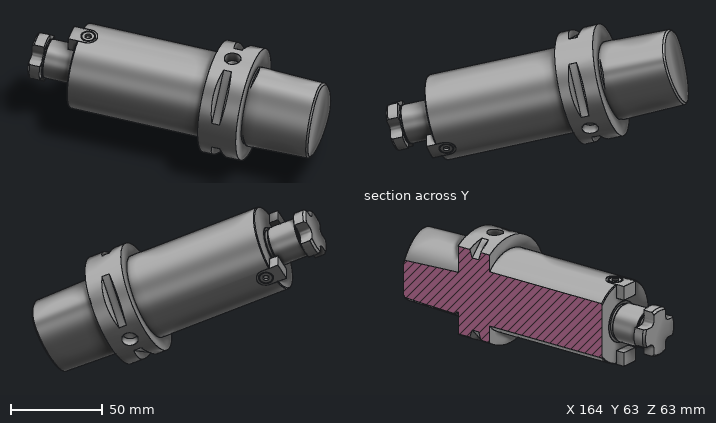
import cadquery as cq
import math


overall_length = 164.0
shank_length = 38.0
flange_length = 22.0
flange_back = overall_length - shank_length
flange_front = flange_back - flange_length
gauge_length = 100.0
body_front = flange_back - gauge_length

opposite_angles = (0, 180)

flange_diameter = 63.0
body_diameter = 48.0
body_chamfer = 0.5
pilot_diameter = 22.0
pilot_front = 7.7
pilot_back = 24.0
pilot_chamfer = 0.5
neck_diameter = 21.6
undercut_diameter = 20.3
face_recess_diameter = 23.6
face_recess_depth = 0.3
undercut_slope = (pilot_diameter - undercut_diameter) / 2

head_diameter = 28.0
head_length = 7.0
head_chamfer = 1.25
cross_arm_width = 10.4
cross_corner_radius = 3.0

key_width = 10.5
key_front = 20.8
key_screw_x = 30.7
key_top = 23.6
key_height = 8.1

screw_hole_diameter = 8.1
screw_head_diameter = 7.5
screw_head_chamfer = 0.25
screw_gap_depth = 3.5
socket_diameter = 3.5
socket_depth = 1.5
drill_half_angle = math.radians(59)

slot_x = 114.0
slot_floor_width = 4.4
slot_half_length = 15.0
slot_depth = flange_diameter / 2 - math.sqrt((flange_diameter / 2) ** 2 - slot_half_length ** 2)
slot_wall_angle = math.radians(25)
slot_angles = (45, 135, 225, 315)
index_hole_diameter = 9.0
index_hole_depth = 6.0

polygon_radius = 22.03
polygon_eccentricity = 1.4
polygon_straight_length = 2.5
polygon_taper = 1 / 40
polygon_end_chamfer = 1.0
polygon_points = 72
relief_diameter = 44.4
relief_length = 1.0
relief_slope = 1.3


def cylinder(x_start, x_end, diameter):
    """Solid cylinder along X between two stations."""
    return cq.Workplane("YZ", origin=(x_start, 0, 0)).circle(diameter / 2).extrude(x_end - x_start)


def cone(x_start, x_end, start_diameter, end_diameter):
    """Truncated cone along X between two stations."""
    base = cq.Workplane("YZ", origin=(x_start, 0, 0)).circle(start_diameter / 2)
    return base.workplane(offset=x_end - x_start).circle(end_diameter / 2).loft()


def make_turned_body():
    """Pilot with its undercut running into the body face, main cylinder and flange."""
    body = cylinder(body_front, flange_front, body_diameter).faces("<X").chamfer(body_chamfer)
    flange = cylinder(flange_front, flange_back, flange_diameter)
    pilot = cylinder(pilot_front, pilot_back, pilot_diameter).faces("<X").chamfer(pilot_chamfer)
    slope_end = pilot_back + undercut_slope
    slope = cone(pilot_back, slope_end, pilot_diameter, undercut_diameter)
    recess_end = body_front + face_recess_depth
    recess = cylinder(body_front, recess_end, face_recess_diameter)
    undercut = cylinder(slope_end, recess_end, undercut_diameter)
    neck = cylinder(head_length, pilot_front, neck_diameter)
    return body.cut(recess).union(flange).union(pilot).union(slope).union(undercut).union(neck)


def make_cross_head():
    """Round head cut down to a four-armed cross."""
    disc = cylinder(0, head_length, head_diameter).faces("<X").chamfer(head_chamfer)
    arms = cq.Workplane("YZ").rect(cross_arm_width, head_diameter).extrude(head_length)
    arms = arms.union(cq.Workplane("YZ").rect(head_diameter, cross_arm_width).extrude(head_length))
    reach = cross_arm_width / 2 + cross_corner_radius
    corners = cq.selectors.BoxSelector((0, -reach, -reach), (head_length, reach, reach))
    arms = arms.edges("|X").edges(corners).fillet(cross_corner_radius)
    return disc.intersect(arms)


def key_outline(z_start, height):
    """Key prism with a round rear end, standing between two heights."""
    straight = key_screw_x - key_front
    block = (
        cq.Workplane("XY", origin=(key_front, 0, z_start))
        .moveTo(0, -key_width / 2)
        .lineTo(straight, -key_width / 2)
        .threePointArc((straight + key_width / 2, 0), (straight, key_width / 2))
        .lineTo(0, key_width / 2)
        .close()
    )
    return block.extrude(height)


def make_key():
    """Upper drive key with the head of its screw sunk flush into the top."""
    key = key_outline(key_top - key_height, key_height)
    top = cq.Workplane("XY", origin=(key_screw_x, 0, key_top))
    gap = top.circle(screw_hole_diameter / 2).extrude(-screw_gap_depth)
    head = top.circle(screw_head_diameter / 2).extrude(-screw_gap_depth)
    head = head.faces(">Z").chamfer(screw_head_chamfer)
    key = key.cut(gap).union(head)
    return key.cut(drilled_hole(key_screw_x, key_top, socket_diameter, socket_depth))


def drilled_hole(x, z_top, diameter, depth):
    """Blind hole along -Z with a conical drill point."""
    radius = diameter / 2
    tip = depth + radius / math.tan(drill_half_angle)
    profile = cq.Workplane("XZ", origin=(x, 0, z_top)).polyline(
        [(0, 0), (radius, 0), (radius, -depth), (0, -tip)]
    )
    return profile.close().revolve(360, (0, 0, 0), (0, 1, 0))


def make_gripper_slot():
    """Straight slot with sloping walls across the top of the flange."""
    floor = flange_diameter / 2 - slot_depth
    half_floor = slot_floor_width / 2
    half_mouth = half_floor + slot_depth * math.tan(slot_wall_angle)
    section = cq.Workplane("XZ", origin=(slot_x, slot_half_length, floor)).polyline(
        [(-half_floor, 0), (half_floor, 0), (half_mouth, slot_depth), (-half_mouth, slot_depth)]
    )
    return section.close().extrude(2 * slot_half_length)


def polygon_wire(x, radius):
    """Rounded three-lobed outline of constant width with one lobe pointing to +Z."""

    def point(t):
        angle = math.pi / 2 + t
        reach = radius + polygon_eccentricity * math.cos(3 * t)
        slope = -3 * polygon_eccentricity * math.sin(3 * t)
        y = reach * math.cos(angle) - slope * math.sin(angle)
        z = reach * math.sin(angle) + slope * math.cos(angle)
        return (y, z)

    samples = [point(2 * math.pi * i / polygon_points) for i in range(polygon_points)]
    return cq.Workplane("YZ", origin=(x, 0, 0)).spline(samples, periodic=True).close().val()


def polygon_prism(x_start, x_end, start_radius, end_radius):
    """Lofted three-lobed stretch of the shank."""
    wires = [polygon_wire(x_start, start_radius), polygon_wire(x_end, end_radius)]
    return cq.Workplane(cq.Solid.makeLoft(wires, True))


def make_shank():
    """Three-lobed tapered shank whose lobes are turned down next to the flange."""
    taper_start = flange_back + polygon_straight_length
    chamfer_start = overall_length - polygon_end_chamfer
    end_radius = polygon_radius - polygon_taper * (chamfer_start - taper_start)
    straight = polygon_prism(flange_back, taper_start, polygon_radius, polygon_radius)
    relief_end = flange_back + relief_length
    slope_end = relief_end + relief_slope
    limit = cylinder(flange_back, relief_end, relief_diameter)
    limit = limit.union(cone(relief_end, slope_end, relief_diameter, relief_diameter + 2 * relief_slope))
    limit = limit.union(cylinder(slope_end, taper_start, flange_diameter))
    taper = polygon_prism(taper_start, chamfer_start, polygon_radius, end_radius)
    end = polygon_prism(chamfer_start, overall_length, end_radius, end_radius - polygon_end_chamfer)
    return straight.intersect(limit).union(taper).union(end)


def build_arbor():
    arbor = make_turned_body().union(make_cross_head()).union(make_shank())
    key_pocket = key_outline(key_top - key_height, body_diameter)
    pocket_in_body = key_pocket.intersect(cylinder(body_front, flange_front, body_diameter))
    key = make_key()
    for angle in opposite_angles:
        arbor = arbor.cut(pocket_in_body.rotate((0, 0, 0), (1, 0, 0), angle))
        arbor = arbor.union(key.rotate((0, 0, 0), (1, 0, 0), angle))
    slot = make_gripper_slot()
    for angle in slot_angles:
        arbor = arbor.cut(slot.rotate((0, 0, 0), (1, 0, 0), angle))
    index_hole = drilled_hole(slot_x, flange_diameter / 2, index_hole_diameter, index_hole_depth)
    for angle in opposite_angles:
        arbor = arbor.cut(index_hole.rotate((0, 0, 0), (1, 0, 0), angle))
    return arbor


result = build_arbor()